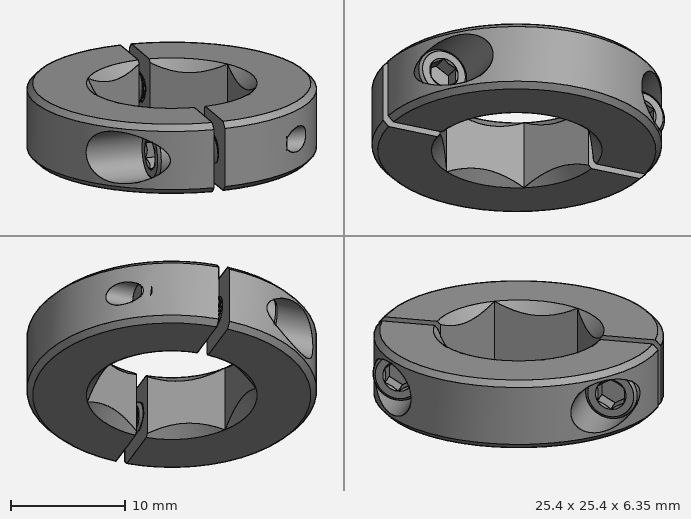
import cadquery as cq
import math

OUTER_DIAMETER = 25.4
WIDTH = 6.35
RIM_CHAMFER = 0.5
SPLIT_GAP = 1.02

HEX_ACROSS_FLATS = 12.95
HEX_CORNER_DIAMETER = HEX_ACROSS_FLATS / math.cos(math.radians(30))
BORE_CONE_ANGLE = 45.0

SCREW_X = 9.58
SCREW_SEAT_Y = -2.55
SHANK_LENGTH = 9.52
HEAD_DIAMETER = 4.65
HEAD_HEIGHT = 2.85
HEAD_CHAMFER = 0.25
SOCKET_ACROSS_FLATS = 2.4
SOCKET_CORNER_DIAMETER = SOCKET_ACROSS_FLATS / math.cos(math.radians(30))
SOCKET_DEPTH = 1.65
SOCKET_CONE_DEPTH = (SOCKET_CORNER_DIAMETER - SOCKET_ACROSS_FLATS) / 2

THREAD_DIAMETER = 2.85
THREAD_ROOT_DIAMETER = 2.13
THREAD_PITCH = 0.64
THREAD_TURNS = 13.6
THREAD_START = 0.45
RIDGE_ROOT_WIDTH = 0.58
RIDGE_CREST_WIDTH = 0.08
RIDGE_OVERLAP = 0.05

TAP_DIAMETER = 2.25
COUNTERBORE_DIAMETER = 4.75


def along_y(shape, x, y):
    """Move a shape built along +Z from the origin to lie along +Y from the point (x, y, 0)."""
    return shape.rotate((0, 0, 0), (1, 0, 0), -90).translate((x, y, 0))


def thread_ridge():
    """Right-handed helical ridge around the +Z axis."""
    core_radius = THREAD_ROOT_DIAMETER / 2 - RIDGE_OVERLAP
    crest_radius = THREAD_DIAMETER / 2
    path = cq.Wire.makeHelix(THREAD_PITCH, THREAD_TURNS * THREAD_PITCH, THREAD_ROOT_DIAMETER / 2)
    return (
        cq.Workplane("XZ")
        .polyline([
            (core_radius, -RIDGE_ROOT_WIDTH / 2),
            (crest_radius, -RIDGE_CREST_WIDTH / 2),
            (crest_radius, RIDGE_CREST_WIDTH / 2),
            (core_radius, RIDGE_ROOT_WIDTH / 2),
        ])
        .close()
        .sweep(cq.Workplane(path), isFrenet=True)
        .translate((0, 0, THREAD_START))
    )


def make_screw():
    """Socket head cap screw along +Z, with the head's seat at the origin."""
    head = (
        cq.Workplane()
        .circle(HEAD_DIAMETER / 2)
        .extrude(-HEAD_HEIGHT)
        .faces("<Z")
        .chamfer(HEAD_CHAMFER)
    )
    socket = (
        cq.Workplane(origin=(0, 0, -HEAD_HEIGHT))
        .polygon(6, SOCKET_CORNER_DIAMETER)
        .extrude(SOCKET_DEPTH)
        .rotate((0, 0, 0), (0, 0, 1), 90)
    )
    socket_cone = cq.Workplane(obj=cq.Solid.makeCone(
        SOCKET_CORNER_DIAMETER / 2,
        SOCKET_ACROSS_FLATS / 2,
        SOCKET_CONE_DEPTH,
        pnt=cq.Vector(0, 0, -HEAD_HEIGHT),
    ))
    core = cq.Workplane().circle(THREAD_ROOT_DIAMETER / 2).extrude(SHANK_LENGTH)
    return head.cut(socket).cut(socket_cone).union(core).union(thread_ridge())


def make_ring():
    """Chamfered ring with the hexagonal bore."""
    ring = (
        cq.Workplane()
        .circle(OUTER_DIAMETER / 2)
        .extrude(WIDTH / 2, both=True)
        .faces("<Z or >Z")
        .chamfer(RIM_CHAMFER)
    )
    hexagon = cq.Workplane().polygon(6, HEX_CORNER_DIAMETER).extrude(WIDTH, both=True)
    cone_depth = HEX_CORNER_DIAMETER / 2 / math.tan(math.radians(BORE_CONE_ANGLE))
    ring = ring.cut(hexagon)
    for side in (-1, 1):
        cone = cq.Solid.makeCone(
            HEX_CORNER_DIAMETER / 2,
            0,
            cone_depth,
            pnt=cq.Vector(0, 0, side * WIDTH / 2),
            dir=cq.Vector(0, 0, -side),
        )
        ring = ring.cut(cq.Workplane(obj=cone))
    return ring


def make_half(side):
    """Half of the ring on the -Y (side = -1) or +Y (side = 1) side of the split."""
    half_space = (
        cq.Workplane()
        .box(OUTER_DIAMETER, OUTER_DIAMETER, WIDTH)
        .translate((0, side * (OUTER_DIAMETER + SPLIT_GAP) / 2, 0))
    )
    return make_ring().intersect(half_space)


def hole(x, diameter, y_from, y_to):
    """Cylinder along Y to cut a screw hole with."""
    return along_y(cq.Workplane().circle(diameter / 2).extrude(y_to - y_from), x, y_from)


def make_front_half():
    """Half that the screw heads sit in, with a counterbored clearance hole for each screw."""
    half = make_half(-1)
    for x in (-SCREW_X, SCREW_X):
        half = half.cut(hole(x, THREAD_DIAMETER, SCREW_SEAT_Y, 0))
        half = half.cut(hole(x, COUNTERBORE_DIAMETER, -OUTER_DIAMETER / 2, SCREW_SEAT_Y))
    return half


def make_rear_half(free_screw, fixed_screw):
    """Half with the free screw's threaded through hole, and a hole that ends at the fixed screw's tip."""
    half = make_half(1).cut(free_screw)
    half = half.cut(hole(-SCREW_X, TAP_DIAMETER, 0, OUTER_DIAMETER / 2))
    half = half.cut(hole(SCREW_X, TAP_DIAMETER, SCREW_SEAT_Y + SHANK_LENGTH, OUTER_DIAMETER / 2))
    return half.union(fixed_screw)


right_screw = along_y(make_screw(), SCREW_X, SCREW_SEAT_Y)
left_screw = right_screw.mirror("YZ")

front_half = make_front_half()
rear_half = make_rear_half(left_screw, right_screw)

result = cq.Compound.makeCompound([
    *front_half.solids().vals(),
    *rear_half.solids().vals(),
    *left_screw.solids().vals(),
])